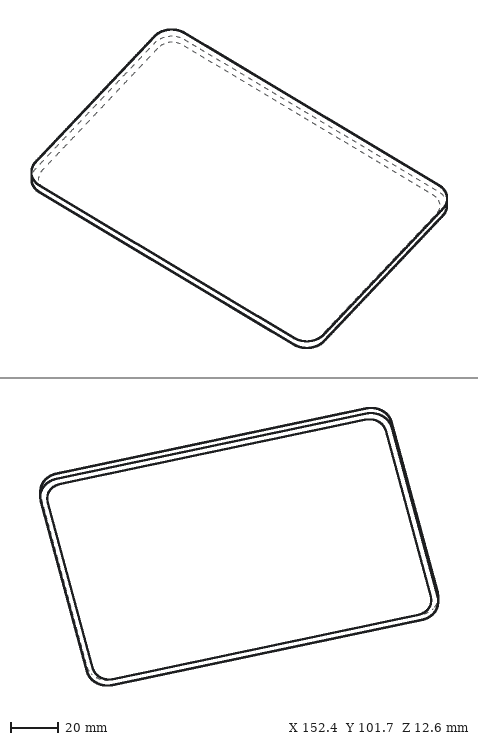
import cadquery as cq
import math

length = 152.4
width = 101.7
height = 12.6
rim_height = 4.7
rim_corner_radius = 9.0

wall_angle = 53.0
wall_thickness = 4.5
body_inset = 2.7
hollow_corner_radius = 5.0
hollow_floor_radius = 3.0
lip_radius = 1.5

body_corner_radius = hollow_corner_radius + wall_thickness
body_floor_radius = hollow_floor_radius + wall_thickness

wall_run = 1 / math.tan(math.radians(wall_angle))
wall_thickness_across = wall_thickness / math.sin(math.radians(wall_angle))
body_inset_at_top = body_inset - rim_height * wall_run
hollow_inset_at_top = body_inset_at_top + wall_thickness_across


def sloped_block(inset_at_top, top_z, bottom_z, corner_radius, floor_radius):
    """Block narrowing downwards, with rounded corners and floor edge.

    The inset is measured from the rim sides at the height of the rim top.
    """
    top_inset = inset_at_top + (height - top_z) * wall_run
    block = (
        cq.Workplane("XY", origin=(0, 0, top_z))
        .rect(length - 2 * top_inset, width - 2 * top_inset)
        .extrude(bottom_z - top_z, taper=90 - wall_angle)
    )
    block = block.edges("not(#Z)").fillet(corner_radius)
    return block.faces("<Z").edges().fillet(floor_radius)


rim = (
    cq.Workplane("XY", origin=(0, 0, height - rim_height))
    .rect(length, width)
    .extrude(rim_height)
    .edges("|Z")
    .fillet(rim_corner_radius)
)
body = sloped_block(
    body_inset_at_top, height - rim_height, 0, body_corner_radius, body_floor_radius
)
hollow = sloped_block(
    hollow_inset_at_top, height, wall_thickness, hollow_corner_radius, hollow_floor_radius
)
tray = rim.union(body).cut(hollow)

lip_edges = tray.faces(">Z").wires().edges(
    cq.selectors.BoxSelector(
        (-length / 2 + lip_radius, -width / 2 + lip_radius, 0),
        (length / 2 - lip_radius, width / 2 - lip_radius, 2 * height),
        boundingbox=True,
    )
)
result = lip_edges.fillet(lip_radius)